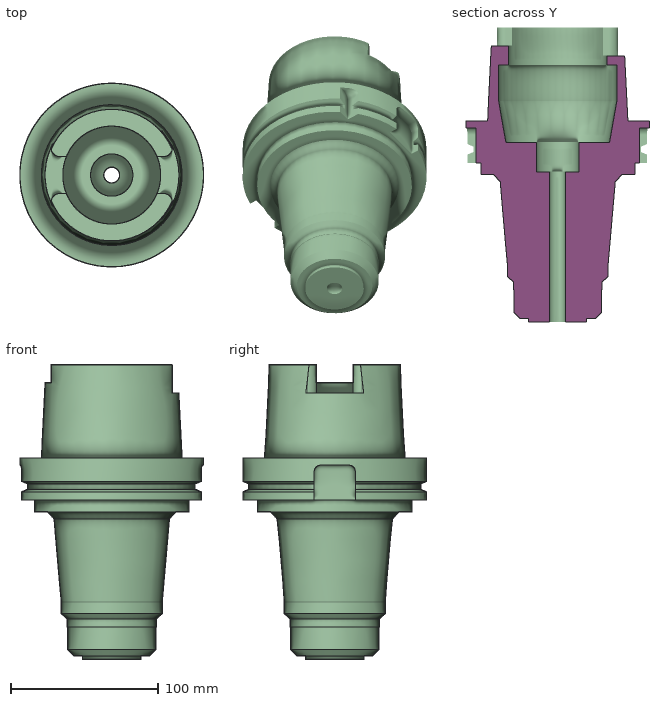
import cadquery as cq
import math


overall_length = 200.4

shank_height = 63.3
taper_base_radius = 47.9
taper_ratio = 1 / 20
taper_top_radius = taper_base_radius - shank_height * taper_ratio

flange_radius = 62.5
flange_bottom = -28.8
groove_floor_radius = 58.5
groove_floor_height = 3.7
groove_centre = -19.55
groove_flank_height = 1.7
groove_floor_top = groove_centre + groove_floor_height / 2
groove_floor_bottom = groove_centre - groove_floor_height / 2

collar_radius = 52.6
collar_bottom = -36.8
neck_top_radius = 43.6
body_top_radius = 39.3
body_top = -41.5
body_end_radius = 34.4
body_end_top = -98.1
body_end_bottom = -105.9
nose_shoulder_radius = 30.3
nose_shoulder_top = -109.6
nose_radius = 30.0
nose_top = -114.9
nose_chamfer = 4.3
nose_bottom = -134.7
tip_radius = 19.9
part_bottom = shank_height - overall_length

mouth_radius = 33.3
mouth_depth = 25.5
cavity_radius = 40.0
cavity_wall_depth = 50.1
cavity_cone_angle = 10
cavity_depth = 78.0
cavity_floor_radius = cavity_radius - (
    (cavity_depth - cavity_wall_depth) * math.tan(math.radians(cavity_cone_angle))
)
socket_radius = 14.4
socket_depth = 20.0
coolant_radius = 5.3

rim_slot_half_width = 12.5
rim_slot_depth_left = 12.1
rim_slot_depth_right = 19.1
tenon_half_length = 41.25
tenon_corner_radius = 6.0

keyway_top = -5.0
keyway_floor = 55.7
left_keyway_half_width = 12.5
right_keyway_half_width = 14.0
keyway_corner_radius = 4.5
notch_floor = 39.8
notch_wall = 39.3

clearance = 10.0
outer_reach = flange_radius + clearance


def revolved(profile):
    """Solid of revolution about Z from (radius, height) points."""
    return cq.Workplane("XZ").polyline(profile).close().revolve(360, (0, 0), (0, 1))


def turned_body():
    """Outside of the part: taper shank, grooved flange, collar, body and nose."""
    profile = [
        (0, shank_height),
        (taper_top_radius, shank_height),
        (taper_base_radius, 0),
        (flange_radius, 0),
        (flange_radius, groove_floor_top + groove_flank_height),
        (groove_floor_radius, groove_floor_top),
        (groove_floor_radius, groove_floor_bottom),
        (flange_radius, groove_floor_bottom - groove_flank_height),
        (flange_radius, flange_bottom),
        (collar_radius, flange_bottom),
        (collar_radius, collar_bottom),
        (neck_top_radius, collar_bottom),
        (body_top_radius, body_top),
        (body_end_radius, body_end_top),
        (body_end_radius, body_end_bottom),
        (nose_shoulder_radius, nose_shoulder_top),
        (nose_shoulder_radius, nose_top),
        (nose_radius, nose_top),
        (nose_radius, nose_bottom + nose_chamfer),
        (nose_radius - nose_chamfer, nose_bottom),
        (tip_radius, nose_bottom),
        (tip_radius, part_bottom),
        (0, part_bottom),
    ]
    return revolved(profile)


def stepped_bore():
    """Mouth, wider cavity narrowing to its floor, socket and coolant hole along the axis."""
    cavity_top = shank_height - mouth_depth
    cavity_wall_bottom = shank_height - cavity_wall_depth
    cavity_floor = shank_height - cavity_depth
    socket_bottom = cavity_floor - socket_depth
    profile = [
        (0, shank_height),
        (mouth_radius, shank_height),
        (mouth_radius, cavity_top),
        (cavity_radius, cavity_top),
        (cavity_radius, cavity_wall_bottom),
        (cavity_floor_radius, cavity_floor),
        (socket_radius, cavity_floor),
        (socket_radius, socket_bottom),
        (coolant_radius, socket_bottom),
        (coolant_radius, part_bottom),
        (0, part_bottom),
    ]
    return revolved(profile)


def rim_slot(side, depth):
    """Slot through the rim on one side (-1 or +1 along X), with rounded tenon corners."""
    round_start = tenon_half_length - tenon_corner_radius
    round_end = rim_slot_half_width + tenon_corner_radius
    return (
        cq.Workplane("XY").workplane(offset=shank_height - depth)
        .moveTo(0, -rim_slot_half_width)
        .lineTo(side * round_start, -rim_slot_half_width)
        .radiusArc((side * tenon_half_length, -round_end), side * tenon_corner_radius)
        .lineTo(side * tenon_half_length, -outer_reach)
        .lineTo(side * outer_reach, -outer_reach)
        .lineTo(side * outer_reach, outer_reach)
        .lineTo(side * tenon_half_length, outer_reach)
        .lineTo(side * tenon_half_length, round_end)
        .radiusArc((side * round_start, rim_slot_half_width), side * tenon_corner_radius)
        .lineTo(0, rim_slot_half_width)
        .close().extrude(depth)
    )


def flange_recess(x_start, x_end, y_start, y_end, rounded_edges):
    """Pocket in the flange rim, open at the flange underside, with rounded upper corners."""
    return (
        cq.Workplane("XY").workplane(offset=flange_bottom)
        .moveTo(x_start, y_start).lineTo(x_end, y_start)
        .lineTo(x_end, y_end).lineTo(x_start, y_end).close()
        .extrude(keyway_top - flange_bottom)
        .edges(rounded_edges).fillet(keyway_corner_radius)
    )


def keyway(side, half_width):
    """Drive keyway centred on the X axis, on the -X (-1) or +X (+1) side."""
    x_ends = sorted((side * keyway_floor, side * outer_reach))
    return flange_recess(*x_ends, -half_width, half_width, "|X and >Z")


def orientation_notch():
    """Notch in the -X, +Y quarter with a flat floor and a single side wall."""
    return flange_recess(-outer_reach, -notch_floor, notch_wall, outer_reach, "|X and >Z and <Y")


result = (
    turned_body()
    .cut(stepped_bore())
    .cut(rim_slot(-1, rim_slot_depth_left))
    .cut(rim_slot(1, rim_slot_depth_right))
    .cut(keyway(-1, left_keyway_half_width))
    .cut(keyway(1, right_keyway_half_width))
    .cut(orientation_notch())
)